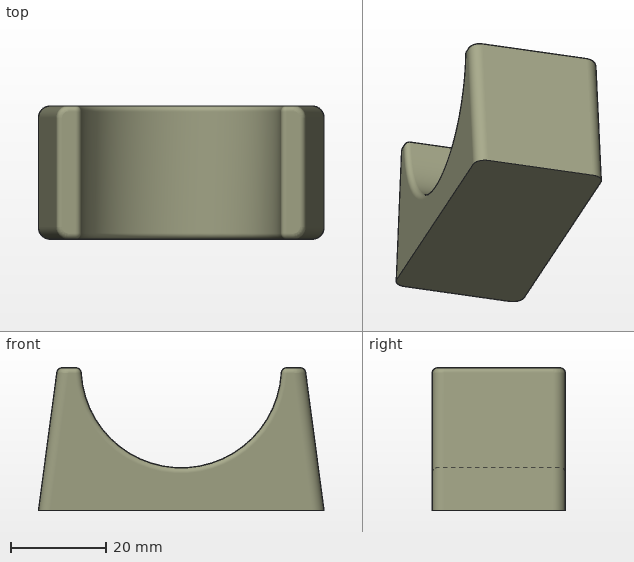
import cadquery as cq

base_length = 60.0
top_length = 52.0
depth = 28.0
height = 30.0
cradle_radius = 21.0
corner_radius = 2.5
edge_radius = 1.2


def tapered_block():
    """Trapezoidal block standing on Z = 0, with its sloped corners rounded."""
    profile = [
        (-base_length / 2, 0),
        (base_length / 2, 0),
        (top_length / 2, height),
        (-top_length / 2, height),
    ]
    block = cq.Workplane("XZ").polyline(profile).close().extrude(depth / 2, both=True)
    sloped_corners = block.faces("<X or >X").edges("<Y or >Y")
    return sloped_corners.fillet(corner_radius)


def cradle_cutter():
    """Cylinder along Y, centred on the top face, that hollows out the cradle."""
    return (
        cq.Workplane("XZ")
        .center(0, height)
        .circle(cradle_radius)
        .extrude(depth, both=True)
    )


cradle = tapered_block().cut(cradle_cutter())

land_edges = cradle.faces(">Z").edges()
rim_edges = cradle.faces("<Y or >Y").edges("%CIRCLE")
result = cradle.newObject(land_edges.add(rim_edges).vals()).fillet(edge_radius)